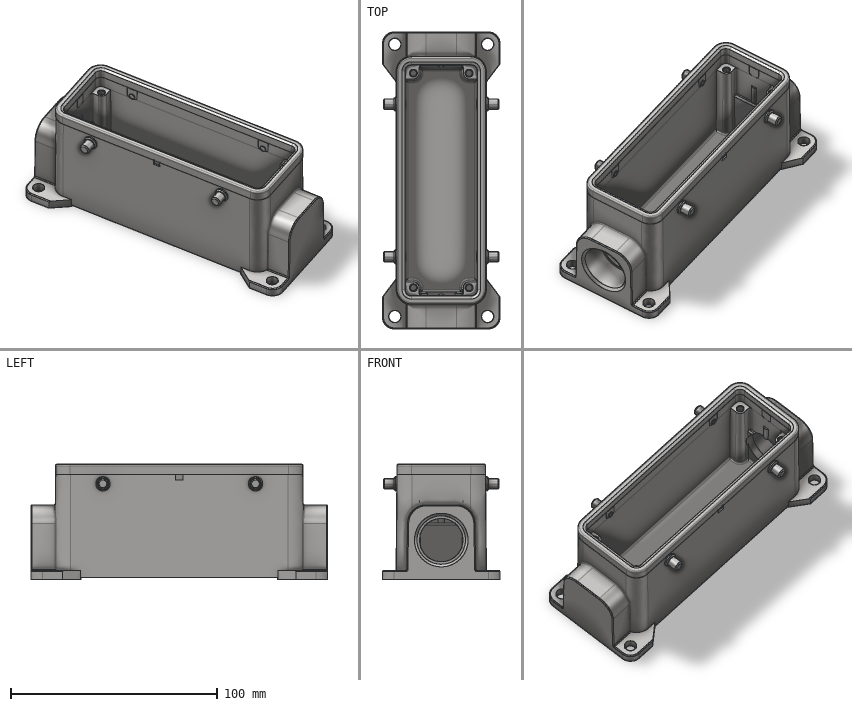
import cadquery as cq
import math

overall_width = 57.0
overall_length = 144.0
overall_height = 56.0

shell_bottom = 1.0
shell_top = 51.0
shell_top_width = 43.0
shell_top_length = 120.0
shell_draft_run = 0.45
shell_bottom_corner_radius = 7.8
shell_rise = shell_top - shell_bottom
shell_draft = math.degrees(math.atan(shell_draft_run / shell_rise))

seal_corner_radius = 7.0
seal_wall = 3.9
seal_inner_radius = seal_corner_radius - seal_wall
seal_outer_fillet = 0.8
seal_lip_width = 1.4
seal_lip_drop = 0.7

floor_top = 4.0
floor_fillet = 1.0
mouth_width = shell_top_width - 2 * seal_wall
mouth_length = shell_top_length - 2 * seal_wall
mouth_step_z = 45.2
mouth_draft_run = 0.2
mouth_draft = math.degrees(math.atan(mouth_draft_run / (shell_top - mouth_step_z)))
cavity_top_width = mouth_width - 2 * mouth_draft_run
cavity_top_length = mouth_length - 2 * mouth_draft_run
cavity_draft = 0.5

post_spacing_x = 27.0
post_spacing_y = 104.0
post_radius = 2.8
post_top = mouth_step_z
post_draft = 1.2
post_hole_diameter = 3.0
post_hole_depth = 15.0
post_hole_chamfer = 0.4
post_reach = 5.0
post_wall_fillet = 1.2

ledge_top = 27.4
ledge_face_y = 54.0
ledge_bevel = 0.9
rib_radius = 1.8
rib_face_y = 55.0
rib_top = 38.0

pad_width = 5.6
pad_corner_radius = 1.5
notch_width = 3.4
notch_height = 2.6
notch_depth = 0.8

foot_height = 4.5
foot_corner_radius = 5.7
foot_slant_start_y = 56.6
foot_inner_y = 47.7
foot_inner_half_width = 21.8
foot_edge_chamfer = 0.5
foot_hole_diameter = 5.8
foot_hole_spacing_x = 45.0
foot_hole_spacing_y = 132.0

port_height = 36.3
port_half_width = 16.3
port_base_half_width = 16.7
port_arc_radius = 9.0
port_root_flare = 0.5
port_edge_chamfer = 0.5
port_inner_y = 58.0
port_joint_fillet = 0.5
bore_z = 19.2
bore_diameter = 23.5
bore_mouth_diameter = 26.0
bore_step_y = 57.7
bore_inner_diameter = 21.0

pin_y = 37.0
pin_z = 46.5
pin_tip_x = 28.1
pin_diameter = 5.0
pin_shoulder_x = 22.9
pin_shank_diameter = 3.0
pin_inner_x = 17.0
pin_tip_chamfer = 0.6
boss_diameter = 6.9
boss_chamfer = 0.6
boss_root_x = 20.0


def rounded_block(width, length, radius, bottom, height, draft=0.0):
    """Upright block with round corners; a positive draft narrows it upwards."""
    outline = cq.Sketch().rect(width, length).vertices().fillet(radius)
    return cq.Workplane("XY").workplane(offset=bottom).placeSketch(outline).extrude(height, taper=draft)


def downward_block(width, length, radius, top, depth, draft):
    """Block drawn at its top and grown downwards; a positive draft narrows it downwards."""
    outline = cq.Sketch().rect(width, length).vertices().fillet(radius)
    return cq.Workplane("XY").workplane(offset=top).placeSketch(outline).extrude(-depth, taper=draft)


def box_between(x0, x1, y0, y1, z0, z1):
    return cq.Workplane("XY").box(x1 - x0, y1 - y0, z1 - z0, centered=False).translate((x0, y0, z0))


def x_cylinder(diameter, x0, x1, side):
    """Cylinder along X at the pin height, on the side given by +1 or -1."""
    return (
        cq.Workplane("YZ", origin=(side * x0, 0, pin_z)).circle(diameter / 2).extrude(side * (x1 - x0))
    )


def make_foot(end):
    """Foot plate across one end, with slanted inner sides."""
    half_width = overall_width / 2
    end_y = overall_length / 2
    foot = (
        cq.Workplane("XY")
        .polyline([
            (-half_width, end * end_y),
            (half_width, end * end_y),
            (half_width, end * foot_slant_start_y),
            (foot_inner_half_width, end * foot_inner_y),
            (-foot_inner_half_width, end * foot_inner_y),
            (-half_width, end * foot_slant_start_y),
        ])
        .close()
        .extrude(foot_height)
    )
    outer_corners = cq.selectors.BoxSelector(
        (-overall_width, end * (end_y - 1), -1), (overall_width, end * (end_y + 1), foot_height + 1)
    )
    foot = foot.edges("|Z").edges(outer_corners).fillet(foot_corner_radius)
    slant_margin = 0.1
    slant_side = cq.selectors.BoxSelector(
        (-overall_width, end * (foot_slant_start_y + slant_margin), -1),
        (overall_width, end * (end_y + 1), foot_height + 1),
    )
    return foot.faces(">Z").edges(slant_side).chamfer(foot_edge_chamfer)


def make_port(end):
    """Solid cable port at one end, flat topped with large round shoulders."""
    shoulder_z = port_height - port_arc_radius
    shoulder_x = port_half_width - port_arc_radius
    root_x = port_base_half_width + port_root_flare
    diagonal = port_arc_radius * math.sqrt(0.5)
    arc_x = shoulder_x + diagonal
    arc_z = shoulder_z + diagonal
    port = (
        cq.Workplane("XZ", origin=(0, end * port_inner_y, 0))
        .moveTo(-root_x, 0)
        .lineTo(-root_x, foot_height)
        .lineTo(-port_base_half_width, foot_height + port_root_flare)
        .lineTo(-port_half_width, shoulder_z)
        .threePointArc((-arc_x, arc_z), (-shoulder_x, port_height))
        .lineTo(shoulder_x, port_height)
        .threePointArc((arc_x, arc_z), (port_half_width, shoulder_z))
        .lineTo(port_base_half_width, foot_height + port_root_flare)
        .lineTo(root_x, foot_height)
        .lineTo(root_x, 0)
        .close()
        .extrude(-end * (overall_length / 2 - port_inner_y))
    )
    outer_face = port.faces(">Y" if end > 0 else "<Y")
    return outer_face.edges("not <Z").chamfer(port_edge_chamfer)


def make_post(side_x, side_y):
    """Screw post that widens downwards and runs into the cavity corner."""
    size = 2 * (post_radius + post_reach)
    x = side_x * (post_spacing_x / 2 + post_reach)
    y = side_y * (post_spacing_y / 2 + post_reach)
    post = downward_block(size, size, post_radius, post_top, post_top - floor_top, -post_draft)
    return post.translate((x, y, 0))


def make_ledge(end):
    """Bevelled ledge along the foot of an end wall."""
    reach = mouth_width / 2
    return (
        cq.Workplane("YZ", origin=(-reach, 0, 0))
        .moveTo(end * ledge_face_y, floor_top)
        .lineTo(end * ledge_face_y, ledge_top - ledge_bevel)
        .lineTo(end * (ledge_face_y + ledge_bevel), ledge_top)
        .lineTo(end * shell_top_length / 2, ledge_top)
        .lineTo(end * shell_top_length / 2, floor_top)
        .close()
        .extrude(2 * reach)
    )


def make_rib(end):
    """Half-round rib standing on the ledge."""
    return (
        cq.Workplane("XY", origin=(0, end * (rib_face_y + rib_radius), ledge_top))
        .circle(rib_radius)
        .extrude(rib_top - ledge_top)
    )


def make_cavity():
    """Space inside the housing, left free around posts, ledges and ribs."""
    cavity = downward_block(
        cavity_top_width, cavity_top_length, seal_inner_radius,
        mouth_step_z, mouth_step_z - floor_top, cavity_draft,
    )
    mouth = downward_block(
        mouth_width, mouth_length, seal_inner_radius, shell_top, shell_top - mouth_step_z, mouth_draft
    )
    cavity = cavity.union(mouth)
    for end in (-1, 1):
        for side in (-1, 1):
            cavity = cavity.cut(make_post(side, end))
    post_side_x = post_spacing_x / 2 - post_radius
    wall_joints = cq.selectors.BoxSelector(
        (-post_side_x, -mouth_length, floor_top + 1), (post_side_x, mouth_length, mouth_step_z - 1)
    )
    cavity = cavity.edges(wall_joints).edges("<Y or >Y").fillet(post_wall_fillet)
    for end in (-1, 1):
        cavity = cavity.cut(make_ledge(end)).cut(make_rib(end))
    cavity = cavity.faces("<Z").edges().fillet(floor_fillet)
    return cavity.cut(make_pads())


def make_pad(x, y, size_x, size_y):
    """Thin pad under the seal, standing on a wall, with its lower corners rounded."""
    height = shell_top - mouth_step_z
    pad = cq.Workplane("XY").box(size_x, size_y, height)
    thin_direction = "X" if size_x < size_y else "Y"
    pad = pad.edges(f"|{thin_direction} and <Z").fillet(pad_corner_radius)
    return pad.translate((x, y, mouth_step_z + height / 2))


def make_pads():
    """Pads that fill the draft of the mouth, behind each pin and at the end walls."""
    side_x = (mouth_width - mouth_draft_run) / 2
    end_y = (mouth_length - mouth_draft_run) / 2
    pads = cq.Workplane("XY")
    for side in (-1, 1):
        for y in (-pin_y, pin_y):
            pads = pads.union(make_pad(side * side_x, y, mouth_draft_run, pad_width))
        pads = pads.union(make_pad(0, side * end_y, pad_width, mouth_draft_run))
    return pads


def make_bore():
    """Stepped and countersunk cable bore through the -Y port into the cavity."""
    mouth_y = overall_length / 2
    mouth_depth = (bore_mouth_diameter - bore_diameter) / 2
    cavity_y = ledge_face_y - floor_fillet
    return (
        cq.Workplane("XY")
        .polyline([
            (0, -mouth_y),
            (bore_mouth_diameter / 2, -mouth_y),
            (bore_diameter / 2, -mouth_y + mouth_depth),
            (bore_diameter / 2, -bore_step_y),
            (bore_inner_diameter / 2, -bore_step_y),
            (bore_inner_diameter / 2, -cavity_y),
            (0, -cavity_y),
        ])
        .close()
        .revolve(360, (0, 0, 0), (0, 1, 0))
        .translate((0, 0, bore_z))
    )


def make_housing():
    housing = rounded_block(
        shell_top_width + 2 * shell_draft_run, shell_top_length + 2 * shell_draft_run,
        shell_bottom_corner_radius, shell_bottom, shell_rise, shell_draft,
    )
    for end in (-1, 1):
        housing = housing.union(make_foot(end)).union(make_port(end))
    margin = 1.0
    joint_y = shell_top_length / 2 + margin
    port_joints = cq.selectors.BoxSelector(
        (-port_base_half_width - margin, -joint_y, foot_height + margin),
        (port_base_half_width + margin, joint_y, port_height + margin),
    )
    housing = housing.edges(port_joints).fillet(port_joint_fillet)
    for side in (-1, 1):
        boss = x_cylinder(boss_diameter, boss_root_x, pin_shoulder_x, side)
        boss = boss.faces(">X" if side > 0 else "<X").chamfer(boss_chamfer)
        for y in (-pin_y, pin_y):
            housing = housing.union(boss.translate((0, y, 0)))

    housing = housing.cut(make_cavity()).cut(make_bore())

    foot_holes = (
        cq.Workplane("XY")
        .rect(foot_hole_spacing_x, foot_hole_spacing_y, forConstruction=True)
        .vertices()
        .circle(foot_hole_diameter / 2)
        .extrude(foot_height)
    )
    post_holes = (
        cq.Workplane("XY", origin=(0, 0, post_top))
        .rect(post_spacing_x, post_spacing_y, forConstruction=True)
        .vertices()
        .circle(post_hole_diameter / 2)
        .extrude(-post_hole_depth)
    )
    post_countersinks = (
        cq.Workplane("XY", origin=(0, 0, post_top))
        .rect(post_spacing_x, post_spacing_y, forConstruction=True)
        .vertices()
        .circle(post_hole_diameter / 2 + post_hole_chamfer)
        .extrude(-post_hole_chamfer, taper=45)
    )
    housing = housing.cut(foot_holes).cut(post_holes).cut(post_countersinks)

    for side in (-1, 1):
        pin_hole = x_cylinder(pin_shank_diameter, pin_inner_x, pin_shoulder_x, side)
        for y in (-pin_y, pin_y):
            housing = housing.cut(pin_hole.translate((0, y, 0)))
        notch = box_between(
            shell_top_width / 2 - notch_depth, shell_top_width / 2 + shell_draft_run,
            -notch_width / 2, notch_width / 2, shell_top - notch_height, shell_top,
        )
        housing = housing.cut(notch if side > 0 else notch.mirror("YZ"))
    return housing


def make_seal():
    """Frame seal that caps the rim, with a sloped inner lip."""
    height = overall_height - shell_top
    outer = rounded_block(shell_top_width, shell_top_length, seal_corner_radius, shell_top, height)
    outer = outer.faces(">Z").edges().fillet(seal_outer_fillet)
    opening = rounded_block(mouth_width, mouth_length, seal_inner_radius, shell_top, height)
    lip = downward_block(
        mouth_width + 2 * seal_lip_width, mouth_length + 2 * seal_lip_width,
        seal_inner_radius + seal_lip_width, overall_height, seal_lip_drop,
        math.degrees(math.atan(seal_lip_width / seal_lip_drop)),
    )
    return outer.cut(opening).cut(lip)


def make_pin(side, y):
    """Locking pin with a thin shank through the side wall."""
    head = x_cylinder(pin_diameter, pin_shoulder_x, pin_tip_x, side)
    head = head.faces(">X" if side > 0 else "<X").chamfer(pin_tip_chamfer)
    shank = x_cylinder(pin_shank_diameter, pin_inner_x, pin_shoulder_x, side)
    return head.union(shank).translate((0, y, 0))


housing = make_housing()
seal = make_seal()
pins = [make_pin(side, y) for side in (-1, 1) for y in (-pin_y, pin_y)]

result = cq.Compound.makeCompound([housing.val(), seal.val(), *[pin.val() for pin in pins]])